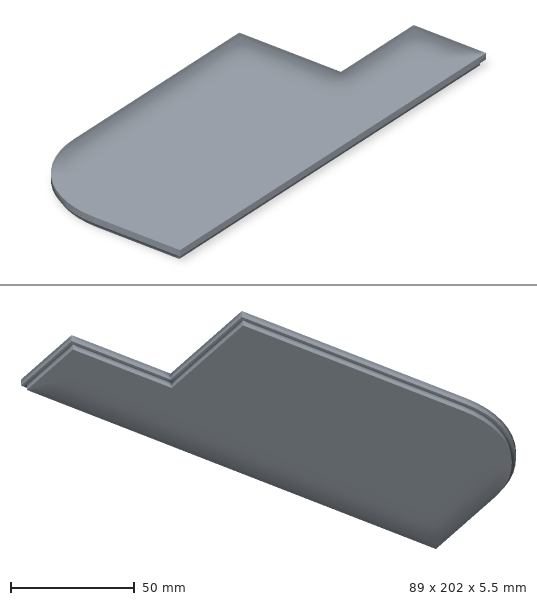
import cadquery as cq

width = 89.0
length = 202.0
corner_radius = 45.0

notch_width = 52.0
notch_length = 48.0

plate_thickness = 3.0
step_thickness = 2.5
step_inset = 1.7


def outline_layer(inset, bottom_z, thickness):
    """Extrude the notched, round-cornered outline, moved inward by inset."""
    left = inset
    right = width - inset
    front = inset
    back = length - inset
    tab_left = notch_width + inset
    shoulder = length - notch_length - inset
    radius = corner_radius - inset
    return (
        cq.Workplane("XY", origin=(0, 0, bottom_z))
        .moveTo(left + radius, front)
        .lineTo(right, front)
        .lineTo(right, back)
        .lineTo(tab_left, back)
        .lineTo(tab_left, shoulder)
        .lineTo(left, shoulder)
        .lineTo(left, front + radius)
        .radiusArc((left + radius, front), -radius)
        .close()
        .extrude(thickness)
    )


step = outline_layer(step_inset, 0, step_thickness)
plate = outline_layer(0, step_thickness, plate_thickness)
result = plate.union(step)